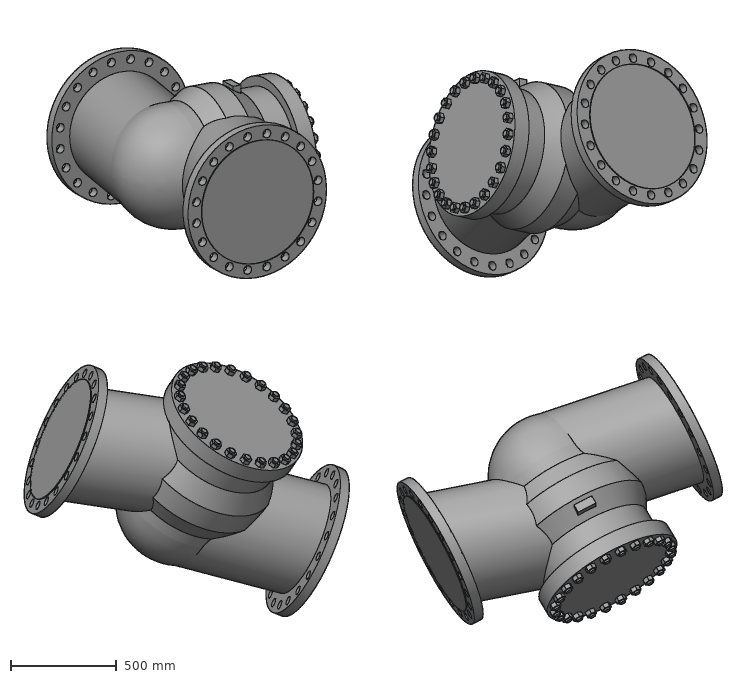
import cadquery as cq
import math


FACE_TO_FACE = 1350.0
FLANGE_DIA = 755.0
FLANGE_THICKNESS = 48.0
RAISED_FACE_DIA = 610.0
RAISED_FACE_HEIGHT = 5.0
BORE_DIA = 500.0
BOLT_CIRCLE_DIA = 670.0
BOLT_HOLE_DIA = 42.0
BOLT_HOLE_COUNT = 20

PIPE_DIA = 553.0
INLET_ANGLE = 9.15
OUTLET_ANGLE = 17.0

NECK_RADIUS = 302.0
BELLY_RADIUS = 355.0
DOME_CENTER_Y = NECK_RADIUS - FLANGE_DIA / 2
LOWER_CONE_START_Y = -13.0
BELLY_BOTTOM_Y = 85.0
BELLY_TOP_Y = 200.0
NECK_BOTTOM_Y = 303.0

COVER_DIA = 701.0
COVER_THICKNESS = 41.0
STUD_TOP_Y = 541.25
STUD_PROJECTION = 31.0
COVER_TOP_Y = STUD_TOP_Y - STUD_PROJECTION
JOINT_Y = COVER_TOP_Y - COVER_THICKNESS
BODY_FLANGE_BOTTOM_Y = JOINT_Y - COVER_THICKNESS

STUD_COUNT = 24
STUD_CIRCLE_RADIUS = 314.0
STUD_DIA = 30.0
NUT_ACROSS_FLATS = 46.0
NUT_SIDES = 6
NUT_HEIGHT = 22.0

PAD_LENGTH = 96.0
PAD_WIDTH = 42.0
PAD_CENTER_Y = 246.0
PAD_TOP_Z = 359.0
PAD_BASE_Z = NECK_RADIUS - PAD_WIDTH

FLANGE_BACK_X = FACE_TO_FACE / 2 - RAISED_FACE_HEIGHT - FLANGE_THICKNESS


def disc(diameter, start, height):
    """Cylinder along +Y from the given Y station."""
    return cq.Workplane("XZ", origin=(0, start, 0)).circle(diameter / 2).extrude(-height)


def make_body():
    """Belly, neck and hemispherical lower dome, revolved about Y."""
    dome_mid = NECK_RADIUS * math.sqrt(0.5)
    profile = (
        cq.Workplane("XY")
        .moveTo(0, DOME_CENTER_Y - NECK_RADIUS)
        .threePointArc((dome_mid, DOME_CENTER_Y - dome_mid), (NECK_RADIUS, DOME_CENTER_Y))
        .lineTo(NECK_RADIUS, LOWER_CONE_START_Y)
        .lineTo(BELLY_RADIUS, BELLY_BOTTOM_Y)
        .lineTo(BELLY_RADIUS, BELLY_TOP_Y)
        .lineTo(NECK_RADIUS, NECK_BOTTOM_Y)
        .lineTo(NECK_RADIUS, BODY_FLANGE_BOTTOM_Y)
        .lineTo(0, BODY_FLANGE_BOTTOM_Y)
        .close()
    )
    return profile.revolve(360, (0, 0, 0), (0, 1, 0))


def make_pipe(side, rise_angle):
    """Pipe whose sloping axis runs from the back of an end flange to the body axis.

    The end on the flange side is cut square to X at the back of the flange.
    """
    angle = math.radians(rise_angle)
    inward = cq.Vector(-side * math.cos(angle), math.sin(angle), 0)
    axis_length = FLANGE_BACK_X / math.cos(angle)
    overrun = PIPE_DIA / 2 * math.tan(abs(angle))
    start = cq.Vector(side * FLANGE_BACK_X, 0, 0) - inward * overrun
    pipe = cq.Solid.makeCylinder(PIPE_DIA / 2, axis_length + overrun, start, inward)
    span = 2 * FLANGE_BACK_X
    return cq.Workplane(pipe).intersect(cq.Workplane().box(span, span, span))


def make_end_flange(side):
    """Drilled flange with raised face; the bore is closed flush with the raised face."""
    back = cq.Workplane("YZ", origin=(side * FLANGE_BACK_X, 0, 0))
    total_height = FLANGE_THICKNESS + RAISED_FACE_HEIGHT
    first_hole = 180.0 / BOLT_HOLE_COUNT
    holes = (
        back.polarArray(BOLT_CIRCLE_DIA / 2, first_hole, 360, BOLT_HOLE_COUNT)
        .circle(BOLT_HOLE_DIA / 2)
        .extrude(side * FLANGE_THICKNESS)
    )
    rim = back.circle(FLANGE_DIA / 2).extrude(side * FLANGE_THICKNESS)
    raised_face = back.circle(RAISED_FACE_DIA / 2).extrude(side * total_height)
    bore = back.circle(BORE_DIA / 2).extrude(side * total_height)
    ring = rim.union(raised_face).cut(holes).cut(bore)
    return ring.union(bore, clean=False)


def make_studs():
    """Ring of studs and nuts standing on the cover, each nut with a flat facing outwards."""
    pitch = 360.0 / STUD_COUNT
    half_hexagon_step = 180.0 / NUT_SIDES
    across_corners = NUT_ACROSS_FLATS / math.cos(math.radians(half_hexagon_step))
    nut = (
        cq.Workplane("XZ", origin=(0, COVER_TOP_Y, 0))
        .polygon(NUT_SIDES, across_corners)
        .extrude(-NUT_HEIGHT)
        .rotate((0, 0, 0), (0, 1, 0), half_hexagon_step)
    )
    stud = nut.union(disc(STUD_DIA, COVER_TOP_Y, STUD_PROJECTION))
    stud = stud.translate((STUD_CIRCLE_RADIUS, 0, 0))
    studs = cq.Workplane()
    for index in range(STUD_COUNT):
        studs = studs.add(stud.rotate((0, 0, 0), (0, 1, 0), (index + 0.5) * pitch))
    return studs.combine()


def make_pad():
    """Rectangular pad rising out of the upper cone."""
    return (
        cq.Workplane("XY", origin=(0, PAD_CENTER_Y, PAD_BASE_Z))
        .rect(PAD_LENGTH, PAD_WIDTH)
        .extrude(PAD_TOP_Z - PAD_BASE_Z)
    )


body_flange = disc(COVER_DIA, BODY_FLANGE_BOTTOM_Y, COVER_THICKNESS)
cover = disc(COVER_DIA, JOINT_Y, COVER_THICKNESS)

valve = make_body().union(make_pipe(-1, -INLET_ANGLE)).union(make_pipe(1, OUTLET_ANGLE))
valve = valve.union(make_pad()).union(body_flange)

for added_part in (cover, make_studs(), make_end_flange(-1), make_end_flange(1)):
    valve = valve.union(added_part, clean=False)

result = valve